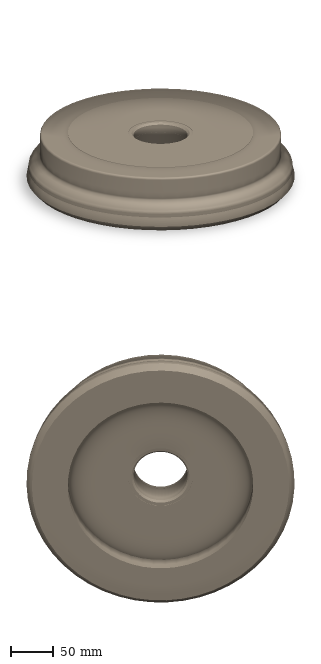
import cadquery as cq
import math

rim_radius = 158.7
height = 63.5

tread_radius = 142.8
tread_bottom = 36.8
tread_edge_fillet = 2.5

hub_radius = 109.8
hub_step = 0.5
shoulder_height = height - hub_step

web_thickness = 41.3
web_bottom = height - web_thickness

root_fillet = 2.2
flange_slope = math.radians(30)

crown_start_radius = 148.5
crown_end_radius = 154.5
crown_end_height = 26.3
cone_end_radius = 155.5
cone_end_height = 25.0
land_radius = 156.5
land_top = 22.5

tip_top = 18.0
tip_bottom = 7.0
tip_facets = 14
chamfer_width = 6.5

bushing_radius = 38.0
bushing_inset = 0.5
bore_radius = 32.0
bore_chamfer = 2.2

groove_width = 4.8
groove_depth = 0.15
groove_top = 56.0


def revolve_profile(profile):
    """Revolve a closed (radius, height) profile about the Z axis."""
    return profile.close().revolve(360, (0, 0, 0), (0, 1, 0))


def tip_points():
    """Parabola points (radius, height), evenly spaced in height, from the land down."""
    bulge = rim_radius - land_radius
    rise = tip_top - tip_bottom
    points = []
    for i in range(tip_facets + 1):
        fraction = 1 - i / tip_facets
        radius = land_radius + bulge * (1 - fraction**2)
        points.append((radius, tip_bottom + rise * fraction))
    return points


def make_wheel():
    root_turn = math.pi / 2 - flange_slope
    root_radius = tread_radius + root_fillet * (1 - math.cos(root_turn))
    root_height = tread_bottom - root_fillet * math.sin(root_turn)
    slope_drop = (crown_start_radius - root_radius) * math.tan(flange_slope)

    profile = (
        cq.Workplane("XZ")
        .moveTo(bushing_radius, web_bottom)
        .lineTo(bushing_radius, height)
        .lineTo(hub_radius, height)
        .lineTo(hub_radius, shoulder_height)
        .lineTo(tread_radius - tread_edge_fillet, shoulder_height)
        .tangentArcPoint((tread_radius, shoulder_height - tread_edge_fillet), relative=False)
        .lineTo(tread_radius, tread_bottom)
        .tangentArcPoint((root_radius, root_height), relative=False)
        .lineTo(crown_start_radius, root_height - slope_drop)
        .tangentArcPoint((crown_end_radius, crown_end_height), relative=False)
        .lineTo(cone_end_radius, cone_end_height)
        .tangentArcPoint((land_radius, land_top), relative=False)
    )
    for radius, z in tip_points():
        profile = profile.lineTo(radius, z)
    profile = (
        profile.lineTo(rim_radius - chamfer_width, 0)
        .lineTo(hub_radius, 0)
        .lineTo(hub_radius, web_bottom)
    )
    return revolve_profile(profile)


def make_bushing():
    top = height - bushing_inset
    bottom = web_bottom + bushing_inset
    groove_bottom = groove_top - groove_width
    groove_radius = bore_radius + groove_depth
    profile = cq.Workplane("XZ").polyline([
        (bushing_radius, bottom),
        (bushing_radius, top),
        (bore_radius + bore_chamfer, top),
        (bore_radius, top - bore_chamfer),
        (bore_radius, groove_top),
        (groove_radius, groove_top),
        (groove_radius, groove_bottom),
        (bore_radius, groove_bottom),
        (bore_radius, bottom + bore_chamfer),
        (bore_radius + bore_chamfer, bottom),
    ])
    return revolve_profile(profile)


wheel = make_wheel()
bushing = make_bushing()

result = cq.Compound.makeCompound([wheel.val(), bushing.val()])